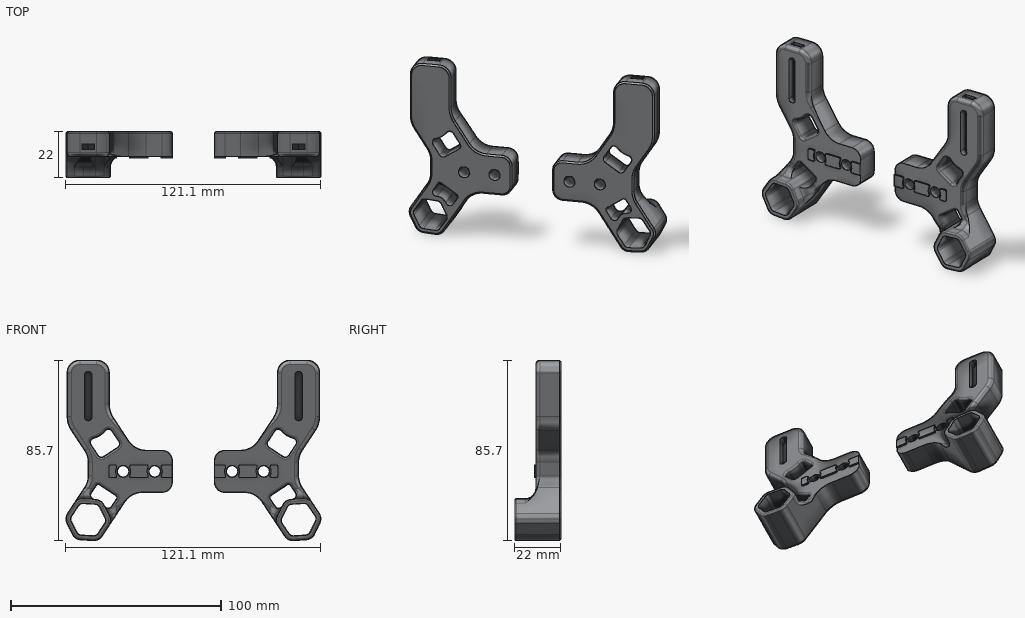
import cadquery as cq
import math

plate_thickness = 12.0
tube_reach = 10.0
lean = math.radians(33.5)

pad_center_x = -50.0
pad_width = 20.05
pad_top_z = 52.81
pad_corner_radius = 6.0
pad_left_x = pad_center_x - pad_width / 2
pad_right_x = pad_center_x + pad_width / 2

arm_end_x = -10.0
arm_half_height = 10.0
arm_corner_radius = 5.0

waist_x = pad_center_x
waist_upper_z = 7.4
leg_right_z = 28.3
pad_bend_radius = 12.0
bend_radius = 10.0

tube_x = -50.01
tube_z = -22.96
bore_apothem = 7.5
bore_corner_radius = 2.5
tube_wall = 2.3
tube_apothem = bore_apothem + tube_wall
tube_corner_radius = bore_corner_radius + tube_wall
tube_turn = math.degrees(lean) - 30

cove_radius = 5.0
front_rounding = 2.0
rim_margin = 15.0
rim_flare = math.radians(41)
rim_clearance = front_rounding + 0.6
rim_bend_radius = 4.0
rim_knee = (-35.0, -18.7)
rim_knee_lean = math.radians(49)
rim_foot_lean = math.radians(17)
edge_chamfer = 0.8
tube_rounding = 0.8

web = 4.0
window_corner_radius = 2.0
window_rounding = 1.0
lower_window_gap = 1.5
lower_rim_corner_radius = 1.2
upper_window_end = -29.4
lower_window_end = -29.97

slot_width = 3.5
slot_top_z = 47.5
slot_bottom_z = 24.05
slot_end_z = slot_bottom_z + slot_width / 2
slot_clearance_radius = 10.4
nut_width = 6.0
nut_channel_front = 3.35
nut_channel_back = 6.05

screw_diameter = 5.4
screw_xs = (-33.4, -18.4)
key_height = 6.0
key_raise = 0.7
key_start_x = -40.1
key_gap = 6.2
key_corner_radius = 0.8
key_relief_diameter = 7.2

far = 40.0


def prism(sketch_points, y_front, y_back):
    """Polygon in X-Z extruded from y_front to y_back."""
    return (
        cq.Workplane("XZ", origin=(0, y_back, 0))
        .polyline(sketch_points)
        .close()
        .extrude(y_back - y_front)
    )


def rounded_prism(corners):
    """Prism as deep as the tube; corners are ((x, z), radius), with radius 0 left sharp."""
    reach = 0.05
    body = prism([point for point, _ in corners], -tube_reach, plate_thickness)
    for (x, z), radius in corners:
        if radius:
            box = cq.selectors.BoxSelector(
                (x - reach, -far, z - reach), (x + reach, far, z + reach)
            )
            body = body.edges("|Y").edges(box).fillet(radius)
    return body


def hex_prism(apothem, corner_radius, y_front, y_back):
    """Rounded hexagon on the tube axis."""
    body = (
        cq.Workplane("XZ", origin=(0, y_back, 0))
        .polygon(6, 2 * apothem / math.cos(math.pi / 6))
        .extrude(y_back - y_front)
        .edges("|Y")
        .fillet(corner_radius)
    )
    return body.rotate((0, 0, 0), (0, 1, 0), tube_turn).translate((tube_x, 0, tube_z))


def upper_leg_point(along, across):
    """Point from distances along (down-right) and across (up-right) the upper leg."""
    x = along * math.sin(lean) + across * math.cos(lean)
    z = -along * math.cos(lean) + across * math.sin(lean)
    return (x, z)


def lower_leg_point(along, across):
    """Point from distances along (up-right) and across (down-right) the lower leg."""
    x = along * math.sin(lean) + across * math.cos(lean)
    z = along * math.cos(lean) - across * math.sin(lean)
    return (x, z)


pad_left_bend = (pad_left_x, waist_upper_z + (waist_x - pad_left_x) / math.tan(lean))
waist_upper = (waist_x, waist_upper_z)
tube_across = tube_x * math.cos(lean) - tube_z * math.sin(lean)
tube_along = tube_x * math.sin(lean) + tube_z * math.cos(lean)
leg_left_across = tube_across - tube_apothem
leg_right_across = tube_across + tube_apothem
waist_lower = (waist_x, (waist_x * math.cos(lean) - leg_left_across) / math.sin(lean))
pad_right_bend = (pad_right_x, leg_right_z)
arm_upper_bend = (
    pad_right_x + (leg_right_z - arm_half_height) * math.tan(lean),
    arm_half_height,
)
arm_lower_bend = (
    (leg_right_across - arm_half_height * math.sin(lean)) / math.cos(lean),
    -arm_half_height,
)


def outline_prism():
    """Whole bracket outline, as deep as the tube."""
    body = rounded_prism([
        ((pad_left_x, pad_top_z), pad_corner_radius),
        ((pad_right_x, pad_top_z), pad_corner_radius),
        (pad_right_bend, pad_bend_radius),
        (arm_upper_bend, bend_radius),
        ((arm_end_x, arm_half_height), arm_corner_radius),
        ((arm_end_x, -arm_half_height), arm_corner_radius),
        (arm_lower_bend, bend_radius),
        (lower_leg_point(tube_along, leg_right_across), 0),
        (lower_leg_point(tube_along, leg_left_across), 0),
        (waist_lower, bend_radius),
        (waist_upper, bend_radius),
        (pad_left_bend, pad_bend_radius),
    ])
    tube = hex_prism(tube_apothem, tube_corner_radius, -tube_reach, plate_thickness)
    return body.union(tube).clean()



def rim_prism():
    """Prism whose rim follows the outline on the pad and the waist and leaves it elsewhere.

    Rounding this rim makes the rounding of the bracket fade out where the outline turns away.
    """
    right_x = arm_end_x + rim_margin
    left_x = pad_left_x - rim_margin
    bottom_z = tube_z - rim_margin
    flare_scale = math.tan(lean / 2) / math.tan(rim_flare / 2)
    shoulder_z = arm_half_height + rim_clearance
    shoulder_x = pad_right_x + (leg_right_z - shoulder_z) * math.tan(rim_flare)
    knee_x, knee_z = rim_knee
    armpit_x = knee_x + (-shoulder_z - knee_z) * math.tan(rim_knee_lean)
    foot_x = knee_x - (knee_z - bottom_z) * math.tan(rim_foot_lean)
    flare_left_z = waist_lower[1] - (waist_x - left_x) / math.tan(rim_flare)
    return rounded_prism([
        ((pad_left_x, pad_top_z), pad_corner_radius),
        ((pad_right_x, pad_top_z), pad_corner_radius),
        (pad_right_bend, pad_bend_radius * flare_scale),
        ((shoulder_x, shoulder_z), rim_bend_radius),
        ((right_x, shoulder_z), 0),
        ((right_x, -shoulder_z), 0),
        ((armpit_x, -shoulder_z), bend_radius),
        (rim_knee, rim_bend_radius),
        ((foot_x, bottom_z), 0),
        ((left_x, bottom_z), 0),
        ((left_x, flare_left_z), 0),
        (waist_lower, bend_radius * flare_scale),
        (waist_upper, bend_radius),
        (pad_left_bend, pad_bend_radius),
    ])


def front_edges_on(body, cutter):
    """Front edges of body that lie on the side walls of a prism."""
    walls = cq.Compound.makeCompound(cutter.faces("#Y").vals())
    edges = []
    for edge in body.edges("not |Y").vals():
        middle = edge.positionAt(0.5)
        on_wall = walls.distance(cq.Vertex.makeVertex(*middle.toTuple())) < 1e-4
        if on_wall and middle.y < plate_thickness / 2:
            edges.append(edge)
    return edges


def rounded_front():
    """Plate and tube with a cove between them and a rounded front rim."""
    slab = cq.Workplane("XY").box(far * 4, plate_thickness, far * 4, centered=(True, False, True))
    tube = hex_prism(tube_apothem, tube_corner_radius, -tube_reach, plate_thickness)
    body = slab.union(tube.faces("<Y").edges().fillet(tube_rounding))
    foot_box = cq.selectors.BoxSelector(
        (-far * 1.9, -0.1, -far * 1.9), (far * 1.9, 0.1, far * 1.9)
    )
    body = body.edges(foot_box).fillet(cove_radius)
    rim = rim_prism()
    body = body.intersect(rim)
    return body.newObject(front_edges_on(body, rim)).fillet(front_rounding)


def cut_window(body, window):
    """Cut a window and round its front edge."""
    body = body.cut(window)
    return body.newObject(front_edges_on(body, window)).fillet(window_rounding)


def upper_window():
    """Window in the upper leg, hollowed by a clearance around the end of the slot."""
    right = pad_right_x * math.cos(lean) + leg_right_z * math.sin(lean) - web
    left = waist_x * math.cos(lean) + waist_upper_z * math.sin(lean) + web
    start = upper_window_end - far
    window = prism(
        [
            upper_leg_point(start, left),
            upper_leg_point(start, right),
            upper_leg_point(upper_window_end, right),
            upper_leg_point(upper_window_end, left),
        ],
        -tube_reach,
        plate_thickness,
    )
    clearance = (
        cq.Workplane("XZ", origin=(pad_center_x, plate_thickness, slot_end_z))
        .circle(slot_clearance_radius)
        .extrude(plate_thickness + tube_reach)
    )
    keep = window.cut(clearance).solids("<Z")
    return keep.edges("|Y").fillet(window_corner_radius)


def lower_window(gap, corner_radius):
    """Window in the lower leg, ending a gap away from the outside of the tube."""
    left = leg_left_across + web
    right = leg_right_across - web
    window = prism(
        [
            lower_leg_point(tube_along, left),
            lower_leg_point(lower_window_end, left),
            lower_leg_point(lower_window_end, right),
            lower_leg_point(tube_along, right),
        ],
        -tube_reach,
        plate_thickness,
    )
    around_tube = hex_prism(
        tube_apothem + gap, tube_corner_radius + gap, -tube_reach, plate_thickness
    )
    return window.cut(around_tube).edges("|Y").fillet(corner_radius)


def slot_and_nut_channel():
    """Blind front slot crossed by a nut channel that opens at the top of the pad."""
    slot = (
        cq.Workplane("XZ", origin=(pad_center_x, nut_channel_back, (slot_top_z + slot_bottom_z) / 2))
        .slot2D(slot_top_z - slot_bottom_z, slot_width, 90)
        .extrude(nut_channel_back)
    )
    half_width = nut_width / 2
    flat_end_z = slot_end_z - half_width * math.tan(math.pi / 6)
    point_z = slot_end_z - half_width / math.cos(math.pi / 6)
    channel = prism(
        [
            (pad_center_x - half_width, pad_top_z),
            (pad_center_x - half_width, flat_end_z),
            (pad_center_x, point_z),
            (pad_center_x + half_width, flat_end_z),
            (pad_center_x + half_width, pad_top_z),
        ],
        nut_channel_front,
        nut_channel_back,
    )
    return slot.union(channel)


def locating_keys():
    """Raised pads in line with the screw holes and relieved around them."""
    first, second = screw_xs
    spans = [
        (key_start_x, first - key_gap / 2),
        (first + key_gap / 2, second - key_gap / 2),
        (second + key_gap / 2, arm_end_x),
    ]
    reliefs = screw_prism(key_relief_diameter)
    keys = []
    for start, end in spans:
        key = (
            cq.Workplane("XY")
            .box(end - start, key_raise, key_height)
            .translate(((start + end) / 2, -key_raise / 2, 0))
        )
        rounded_edges = "|Y and <X" if end == arm_end_x else "|Y"
        keys.append(key.edges(rounded_edges).fillet(key_corner_radius).cut(reliefs))
    return keys


def screw_prism(diameter):
    """Cylinders on the screw axes, through the plate and the keys."""
    return (
        cq.Workplane("XZ", origin=(0, plate_thickness, 0))
        .pushPoints([(x, 0) for x in screw_xs])
        .circle(diameter / 2)
        .extrude(plate_thickness + key_raise)
    )


def bracket():
    outline = outline_prism().faces(">Y").chamfer(edge_chamfer)
    body = rounded_front().intersect(outline)
    body = cut_window(body, upper_window())
    body = cut_window(body, lower_window(lower_window_gap, lower_rim_corner_radius))
    body = body.cut(lower_window(0, window_corner_radius))
    body = body.cut(slot_and_nut_channel())
    for key in locating_keys():
        body = body.union(key)
    body = body.cut(screw_prism(screw_diameter))
    return body.cut(hex_prism(bore_apothem, bore_corner_radius, -tube_reach, plate_thickness))


left_bracket = bracket()
right_bracket = left_bracket.mirror("YZ")

result = cq.Compound.makeCompound([left_bracket.val(), right_bracket.val()])